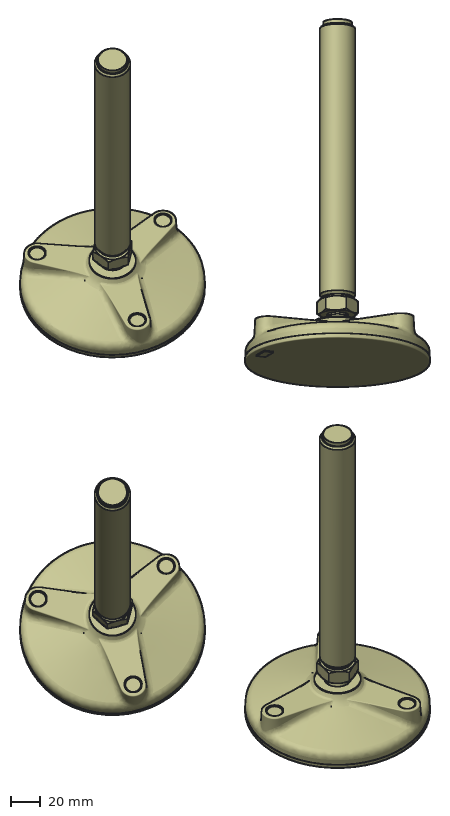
import cadquery as cq
import math

SOLE_RADIUS = 62.5
SOLE_BOTTOM = 0.7
SOLE_TOP = 3.8
SOLE_ROUND = 0.7
SOLE_OVERHANG = 0.2
PLATE_RADIUS = SOLE_RADIUS - SOLE_OVERHANG
CONE_ANGLE = 14.3
CONE_FOOT = 12.0
RIM_ROUND = 5.5

PAD_LENGTH = 13.0
PAD_WIDTH = 6.7
PAD_DISTANCE = 54.2

HUB_TOP = 29.0
HUB_TOP_RADIUS = 15.8
HUB_FOOT_RADIUS = 23.9
HUB_FOOT_ANGLE = 22
HUB_FOOT_SINK = 0.2
HUB_CORNER_ROUND = 2.5
HUB_LIP = 0.7

RIB_ANGLES = (90, 210, 330)
RIB_TOP = 24.8
RIB_INNER_HALF_WIDTH = 14.0
BOSS_DISTANCE = 51.8
BOSS_RADIUS = 8.8
RIB_DRAFT = 3.0
RIB_FILLET = 5.0
RIB_EDGE_ROUND = 0.7
RIB_START = 4.8
RIB_EXCESS = 23.9
RECESS_DIAMETER = 12.0
RECESS_FLOOR_DIAMETER = 10.5
RECESS_DEPTH = 0.7

BALL_RADIUS = 18.4 / 2
BALL_CENTER = 27.0
NECK_RADIUS = 14.3 / 2
HEX_BOTTOM = 34.1
HEX_TOP = 44.2
HEX_FLATS = 24.0
HEX_CHAMFER_ANGLE = 30
UNDERCUT_RADIUS = 19.5 / 2
ROD_RADIUS = 24.0 / 2
ROD_BOTTOM = 46.0
ROD_SHOULDER = 235.8
ROD_BOTTOM_RADIUS = 10.5
ROD_BOTTOM_CHAMFER = 2.0
ROD_TOP_CHAMFER = 1.5
TIP_RADIUS = 19.5 / 2
TOTAL_HEIGHT = 238.7

LEVEL_TOLERANCE = 0.002
CONE_SLOPE = math.tan(math.radians(CONE_ANGLE))

SECTION = cq.Plane(origin=(0, 0, 0), xDir=(0, -1, 0), normal=(-1, 0, 0))


def cone_height(radius):
    """Level of the conical top at a given distance from the axis."""
    return CONE_FOOT + (PLATE_RADIUS - radius) * CONE_SLOPE


def make_plate():
    """Round plate with a conical top and a rounded rim, standing on a slightly wider sole."""
    plate = (
        cq.Workplane(SECTION)
        .moveTo(0, SOLE_TOP)
        .lineTo(PLATE_RADIUS, SOLE_TOP)
        .lineTo(PLATE_RADIUS, CONE_FOOT)
        .lineTo(0, cone_height(0))
        .close()
        .revolve(360, (0, 0), (0, 1))
    )
    rim = cq.selectors.NearestToPointSelector((0, 0, CONE_FOOT))
    plate = plate.edges("%CIRCLE").edges(rim).fillet(RIM_ROUND)
    sole = (
        cq.Workplane("XY")
        .workplane(offset=SOLE_BOTTOM)
        .circle(SOLE_RADIUS)
        .extrude(SOLE_TOP - SOLE_BOTTOM)
        .faces("<Z")
        .edges()
        .fillet(SOLE_ROUND)
    )
    return plate.union(sole)


def make_tall_rib(angle):
    """Drafted rib that narrows towards its round boss, left taller than its final top."""
    growth = (RIB_TOP - RIB_START) * math.tan(math.radians(RIB_DRAFT))
    boss_radius = BOSS_RADIUS + growth
    lean = math.asin((RIB_INNER_HALF_WIDTH - BOSS_RADIUS) / BOSS_DISTANCE)
    tangent_x = BOSS_DISTANCE + boss_radius * math.sin(lean)
    tangent_y = boss_radius * math.cos(lean)
    inner_y = tangent_y + tangent_x * math.tan(lean)
    rib = (
        cq.Workplane("XY")
        .workplane(offset=RIB_START)
        .moveTo(0, -inner_y)
        .lineTo(tangent_x, -tangent_y)
        .threePointArc((BOSS_DISTANCE + boss_radius, 0), (tangent_x, tangent_y))
        .lineTo(0, inner_y)
        .close()
        .extrude(RIB_TOP + RIB_EXCESS - RIB_START, taper=RIB_DRAFT)
    )
    return rib.rotate((0, 0, 0), (0, 0, 1), angle)


def is_rib_foot(edge):
    """True where a straight rib wall cuts the cone; these edges are hyperbolas."""
    return edge.geomType() == "HYPERBOLA" and edge.Center().z < RIB_TOP


def make_ribbed_plate():
    """Plate with filleted ribs, trimmed flat at the rib top with a softened edge."""
    body = make_plate()
    for angle in RIB_ANGLES:
        body = body.union(make_tall_rib(angle))
    feet = [edge for edge in body.edges().vals() if is_rib_foot(edge)]
    body = body.newObject(feet).fillet(RIB_FILLET)
    excess = cq.Workplane("XY").workplane(offset=RIB_TOP).circle(SOLE_RADIUS).extrude(2 * RIB_EXCESS)
    body = body.cut(excess)
    return body.faces(">Z").edges().fillet(RIB_EDGE_ROUND)


def make_hub():
    """Hub whose flank is a hollow arc running out almost level with the cone."""
    foot = cq.Vector(HUB_FOOT_RADIUS, cone_height(HUB_FOOT_RADIUS) - HUB_FOOT_SINK)
    lip = cq.Vector(HUB_TOP_RADIUS, HUB_TOP - HUB_LIP)
    slope = math.radians(HUB_FOOT_ANGLE)
    normal = cq.Vector(math.sin(slope), math.cos(slope))
    chord = lip - foot
    arc_radius = chord.dot(chord) / (2 * chord.dot(normal))
    arc_center = foot + normal * arc_radius
    middle = arc_center + ((foot + lip) * 0.5 - arc_center).normalized() * arc_radius
    return (
        cq.Workplane(SECTION)
        .moveTo(0, SOLE_TOP)
        .lineTo(foot.x, SOLE_TOP)
        .lineTo(foot.x, foot.y)
        .threePointArc((middle.x, middle.y), (lip.x, lip.y))
        .lineTo(HUB_TOP_RADIUS, HUB_TOP)
        .lineTo(0, HUB_TOP)
        .close()
        .revolve(360, (0, 0), (0, 1))
    )


def is_hub_corner(edge):
    """True for the arcs where the rib tops run into the hub."""
    center = edge.Center()
    on_rib_top = abs(center.z - RIB_TOP) < LEVEL_TOLERANCE
    return on_rib_top and edge.geomType() == "CIRCLE" and math.hypot(center.x, center.y) < HUB_FOOT_RADIUS


def make_foot():
    """Ribbed plate and hub in one piece, rounded where rib tops and hub meet."""
    body = make_ribbed_plate().union(make_hub())
    corners = [edge for edge in body.edges().vals() if is_hub_corner(edge)]
    return body.newObject(corners).fillet(HUB_CORNER_ROUND)


def make_recess(angle):
    """Shallow recess in a boss, tapering to its floor."""
    recess = (
        cq.Workplane("XY")
        .workplane(offset=RIB_TOP)
        .center(BOSS_DISTANCE, 0)
        .circle(RECESS_DIAMETER / 2)
        .workplane(offset=-RECESS_DEPTH)
        .circle(RECESS_FLOOR_DIAMETER / 2)
        .loft()
    )
    return recess.rotate((0, 0, 0), (0, 0, 1), angle)


def make_pad():
    """Small raised pad under the sole."""
    return cq.Workplane("XY").center(0, PAD_DISTANCE).rect(PAD_LENGTH, PAD_WIDTH).extrude(SOLE_BOTTOM)


def make_spindle():
    """Ball foot, neck, undercut and threaded rod as one turned piece."""
    ball_rise = math.sqrt(BALL_RADIUS**2 - NECK_RADIUS**2)
    return (
        cq.Workplane(SECTION)
        .moveTo(0, BALL_CENTER)
        .lineTo(BALL_RADIUS, BALL_CENTER)
        .radiusArc((NECK_RADIUS, BALL_CENTER + ball_rise), -BALL_RADIUS)
        .lineTo(NECK_RADIUS, HEX_TOP)
        .lineTo(UNDERCUT_RADIUS, HEX_TOP)
        .lineTo(UNDERCUT_RADIUS, ROD_BOTTOM)
        .lineTo(ROD_BOTTOM_RADIUS, ROD_BOTTOM)
        .lineTo(ROD_RADIUS, ROD_BOTTOM + ROD_BOTTOM_CHAMFER)
        .lineTo(ROD_RADIUS, ROD_SHOULDER - ROD_TOP_CHAMFER)
        .lineTo(ROD_RADIUS - ROD_TOP_CHAMFER, ROD_SHOULDER)
        .lineTo(TIP_RADIUS, ROD_SHOULDER)
        .lineTo(TIP_RADIUS, TOTAL_HEIGHT)
        .lineTo(0, TOTAL_HEIGHT)
        .close()
        .revolve(360, (0, 0), (0, 1))
    )


def make_hex():
    """Hexagon with corners along X, its corners chamfered at both ends."""
    corner_radius = HEX_FLATS / 2 / math.cos(math.radians(30))
    face_radius = HEX_FLATS / 2
    drop = (corner_radius - face_radius) * math.tan(math.radians(HEX_CHAMFER_ANGLE))
    prism = (
        cq.Workplane("XY")
        .workplane(offset=HEX_BOTTOM)
        .polygon(6, 2 * corner_radius)
        .extrude(HEX_TOP - HEX_BOTTOM)
    )
    chamfered = (
        cq.Workplane(SECTION)
        .moveTo(0, HEX_BOTTOM)
        .lineTo(face_radius, HEX_BOTTOM)
        .lineTo(corner_radius, HEX_BOTTOM + drop)
        .lineTo(corner_radius, HEX_TOP - drop)
        .lineTo(face_radius, HEX_TOP)
        .lineTo(0, HEX_TOP)
        .close()
        .revolve(360, (0, 0), (0, 1))
    )
    return prism.intersect(chamfered)


foot = make_foot()
for rib_angle in RIB_ANGLES:
    foot = foot.cut(make_recess(rib_angle))
result = foot.union(make_pad()).union(make_spindle()).union(make_hex())